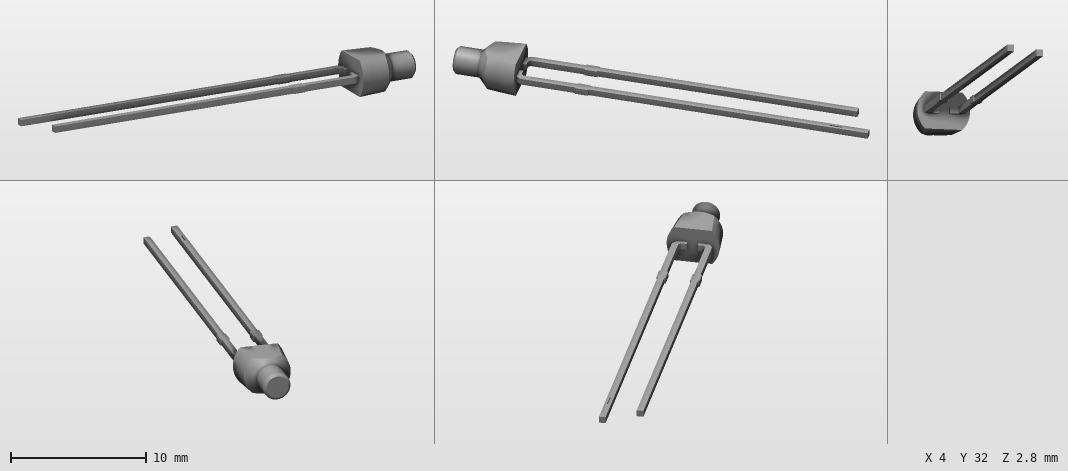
import cadquery as cq


base_radius = 2.0
skirt_top_radius = 1.8
skirt_height = 2.25
tip_radius = 1.05
shoulder_height = skirt_top_radius - tip_radius
body_height = 5.0
tip_chamfer = 0.2
body_thickness = 2.8

lead_pitch = 2.54
lead_width = 0.5
lead_thickness = 0.5
long_lead_length = 27.0
short_lead_length = 25.5
foot_depth = 0.3
foot_inner_x = 0.42
outer_chamfer_x = 0.27
outer_chamfer_y = 0.4
inner_chamfer = 0.17
stop_width = 0.7
stop_top = 4.6
stop_length = 1.0

groove_width = 0.1
groove_length = 1.0
groove_depth = 0.1
groove_end_gap = 2.0

lead_x = lead_pitch / 2


def make_body():
    """Turned lens with a tapered skirt, cut by two flats parallel to XY."""
    shoulder_top = skirt_height + shoulder_height
    turned = (
        cq.Workplane("YZ")
        .moveTo(0, 0)
        .lineTo(0, base_radius)
        .lineTo(skirt_height, skirt_top_radius)
        .lineTo(shoulder_top, tip_radius)
        .lineTo(body_height, tip_radius)
        .lineTo(body_height, 0)
        .close()
        .revolve(360, (0, 0, 0), (1, 0, 0))
    )
    turned = turned.faces(">Y").edges().chamfer(tip_chamfer)
    slab = cq.Workplane("XY").box(2 * base_radius, 2 * body_height, body_thickness)
    return turned.intersect(slab)


def make_lead(length):
    """Lead on the +X side: foot turned inward under the base, chamfered bend, wider stop."""
    outer_x = lead_x + lead_width / 2
    inner_x = lead_x - lead_width / 2
    strip = (
        cq.Workplane("XY")
        .moveTo(foot_inner_x, 0)
        .lineTo(outer_x - outer_chamfer_x, 0)
        .lineTo(outer_x, -outer_chamfer_y)
        .lineTo(outer_x, -length)
        .lineTo(inner_x, -length)
        .lineTo(inner_x, -foot_depth - inner_chamfer)
        .lineTo(inner_x - inner_chamfer, -foot_depth)
        .lineTo(foot_inner_x, -foot_depth)
        .close()
        .extrude(lead_thickness / 2, both=True)
    )
    stop = (
        cq.Workplane("XY")
        .box(stop_width, stop_length, lead_thickness)
        .translate((lead_x, -stop_top - stop_length / 2, 0))
    )
    return strip.union(stop)


def make_groove():
    """Cutter for the groove in the +Z face of the long lead."""
    center_y = -long_lead_length + groove_end_gap + groove_length / 2
    return (
        cq.Workplane("XY", origin=(-lead_x, center_y, lead_thickness / 2))
        .rect(groove_width, groove_length)
        .extrude(-groove_depth)
    )


long_lead = make_lead(long_lead_length).mirror("YZ").cut(make_groove())
short_lead = make_lead(short_lead_length)
result = make_body().union(long_lead).union(short_lead)